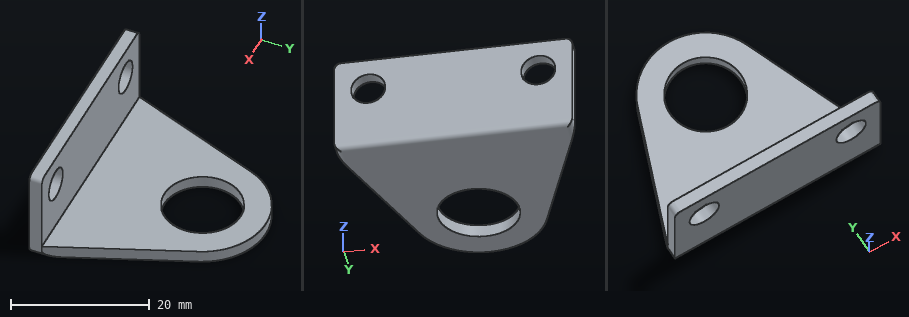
import cadquery as cq
import math

width = 35.0
height = 15.0
depth = 29.65
thickness = 2.0
corner_radius = 1.0
bend_radius = 1.0

lug_radius = 10.0
lug_bore_diameter = 12.0

mount_hole_diameter = 5.0
mount_hole_spacing = 25.0
mount_hole_drop = 5.0

lug_y = depth - lug_radius
mount_hole_z = height - mount_hole_drop


def lug_tangent_point():
    """Point on the right of the lug arc where the line from the wall's back corner touches it."""
    corner_dx = width / 2
    corner_dy = thickness - lug_y
    corner_angle = math.atan2(corner_dy, corner_dx)
    half_angle = math.acos(lug_radius / math.hypot(corner_dx, corner_dy))
    angle = corner_angle + half_angle
    return lug_radius * math.cos(angle), lug_y + lug_radius * math.sin(angle)


def make_base():
    """Flat plate tapering from the full width to a round lug."""
    tangent_x, tangent_y = lug_tangent_point()
    return (
        cq.Workplane("XY")
        .moveTo(-width / 2, 0)
        .lineTo(width / 2, 0)
        .lineTo(width / 2, thickness)
        .lineTo(tangent_x, tangent_y)
        .threePointArc((0, depth), (-tangent_x, tangent_y))
        .lineTo(-width / 2, thickness)
        .close()
        .extrude(thickness)
    )


def make_wall():
    """Upright plate along the front edge of the base."""
    return cq.Workplane("XY").box(width, thickness, height, centered=(True, False, False))


def make_outer_block():
    return cq.Workplane("XY").box(width, depth, height, centered=(True, False, False))


def make_rounded_corners():
    """Front outline with four rounded corners, carried through the whole depth."""
    return make_outer_block().edges("|Y").fillet(corner_radius)


def make_rounded_bend():
    """Side outline with the outside of the bend rounded, carried across the whole width."""
    return make_outer_block().faces("<Y").edges("<Z").fillet(bend_radius)


def make_lug_bore():
    return cq.Workplane("XY").center(0, lug_y).circle(lug_bore_diameter / 2).extrude(thickness)


def make_mount_holes():
    half_spacing = mount_hole_spacing / 2
    return (
        cq.Workplane("XZ")
        .pushPoints([(-half_spacing, mount_hole_z), (half_spacing, mount_hole_z)])
        .circle(mount_hole_diameter / 2)
        .extrude(-thickness)
    )


bracket = make_base().union(make_wall())
bracket = bracket.intersect(make_rounded_corners()).intersect(make_rounded_bend())
result = bracket.cut(make_lug_bore()).cut(make_mount_holes())